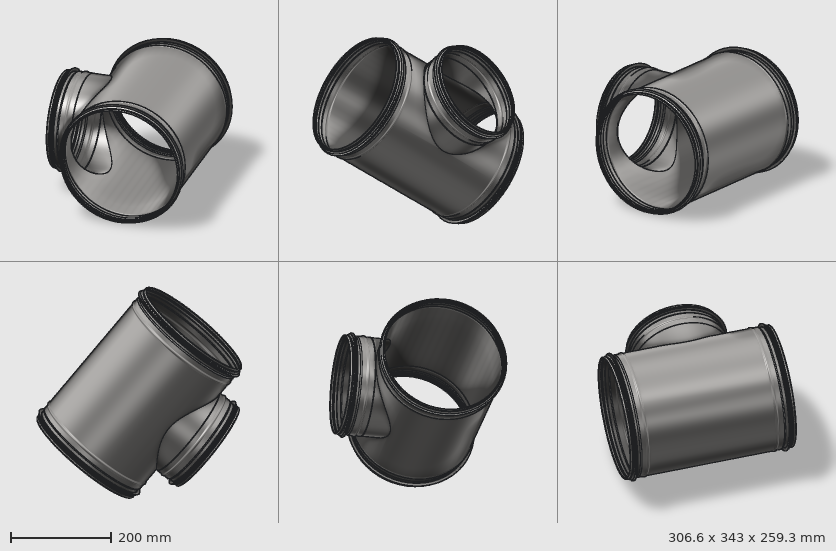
import cadquery as cq
PIPE_LENGTH = 343
PIPE_RADIUS = 249.0 / 2

BRANCH_MOUTH = 177.0
BRANCH_RADIUS = 199.0 / 2
NECK_INSERTION = 1.0

WALL = 0.5
HEM_LENGTH = 5.5
HEM_STEP = 0.5
FOLD_INNER_EDGE = 0.7
FOLD_OUTER_EDGE = 1.7
GROOVE_DEPTH = 1.9
GROOVE_END = 24.7
GROOVE_TAPER = 3.0
BEAD_START = 34.0
BEAD_WIDTH = 8.2
BEAD_HEIGHT = 1.7
BEAD_END = BEAD_START + BEAD_WIDTH
HEM_THICKNESS = GROOVE_DEPTH + WALL + HEM_STEP

GASKET_END = 15.0
GASKET_BASE = 0.7
SHOULDER_START = 7.2
SHOULDER_HEIGHT = 1.7
THIN_LIP_END = 9.3
THIN_LIP_TIP = 11.3
THIN_LIP_THICKNESS = 1.0
THIN_LIP_HEIGHT = 4.63
THICK_LIP_THICKNESS = 1.5
THICK_LIP_HEIGHT = 7.03

NECK_RADIUS = BRANCH_RADIUS - WALL
SPIGOT_LENGTH = BRANCH_MOUTH - PIPE_RADIUS


def revolved(outline):
    """Solid turned about Z from an outline drawn as (radius, height)."""
    return outline.close().revolve(360, (0, 0, 0), (0, 1, 0))


def end_core(radius, length):
    """Solid pipe end up +Z from the hem fold: groove running out to the mouth, then a round bead."""
    floor = radius - GROOVE_DEPTH
    bead_flank = radius + BEAD_HEIGHT / 2
    return revolved(
        cq.Workplane("XZ")
        .moveTo(0, FOLD_OUTER_EDGE)
        .lineTo(floor, FOLD_OUTER_EDGE)
        .lineTo(floor, GROOVE_END - GROOVE_TAPER)
        .lineTo(radius, GROOVE_END)
        .lineTo(radius, BEAD_START)
        .threePointArc(
            (radius + BEAD_HEIGHT * 0.15, BEAD_START + BEAD_WIDTH * 0.15),
            (bead_flank, BEAD_START + BEAD_WIDTH / 4),
        )
        .threePointArc(
            (radius + BEAD_HEIGHT, BEAD_START + BEAD_WIDTH / 2),
            (bead_flank, BEAD_END - BEAD_WIDTH / 4),
        )
        .threePointArc(
            (radius + BEAD_HEIGHT * 0.15, BEAD_END - BEAD_WIDTH * 0.15),
            (radius, BEAD_END),
        )
        .lineTo(radius, length)
        .lineTo(0, length)
    )


def hem(radius):
    """Folded rim on the groove wall, rounded at the mouth at z = 0 and standing a little into the bore."""
    floor = radius - GROOVE_DEPTH
    return revolved(
        cq.Workplane("XZ")
        .moveTo(floor, HEM_LENGTH)
        .lineTo(floor, FOLD_OUTER_EDGE)
        .lineTo(floor - WALL, FOLD_OUTER_EDGE)
        .lineTo(radius - HEM_THICKNESS, FOLD_INNER_EDGE)
        .threePointArc((radius - HEM_THICKNESS / 2, 0), (radius, FOLD_OUTER_EDGE))
        .lineTo(radius, HEM_LENGTH)
    )


def pipe_end(radius, length):
    """Sheet-metal pipe end with hem, gasket groove and bead."""
    return end_core(radius, length).cut(end_core(radius - WALL, length)).union(hem(radius))


def gasket(radius):
    """Ring with a shoulder, a slanted thin lip and a straight thick lip, for a pipe end with its mouth at z = 0."""
    seat = radius - GROOVE_DEPTH
    base = seat + GASKET_BASE
    thin_lip = seat + THIN_LIP_HEIGHT
    thick_lip = seat + THICK_LIP_HEIGHT
    return revolved(
        cq.Workplane("XZ")
        .moveTo(seat, HEM_LENGTH)
        .lineTo(base, HEM_LENGTH)
        .lineTo(base, SHOULDER_START)
        .lineTo(seat + SHOULDER_HEIGHT, SHOULDER_START)
        .lineTo(thin_lip, THIN_LIP_TIP - THIN_LIP_THICKNESS)
        .lineTo(thin_lip, THIN_LIP_TIP)
        .lineTo(base, THIN_LIP_END)
        .lineTo(base, GASKET_END - THICK_LIP_THICKNESS)
        .lineTo(thick_lip, GASKET_END - THICK_LIP_THICKNESS)
        .lineTo(thick_lip, GASKET_END)
        .lineTo(seat, GASKET_END)
    )


def at_front_end(body):
    """Place a body with its mouth on the -Y end of the main pipe."""
    return body.rotate((0, 0, 0), (1, 0, 0), -90).translate((0, -PIPE_LENGTH / 2, 0))


def at_back_end(body):
    """Place a body with its mouth on the +Y end of the main pipe."""
    return at_front_end(body).mirror("XZ")


def at_branch(body):
    """Place a body with its mouth on the -X end of the branch."""
    return body.rotate((0, 0, 0), (0, 1, 0), 90).translate((-BRANCH_MOUTH, 0, 0))


def neck_rod(radius):
    """Solid rod from just inside the branch spigot to the axis of the main pipe."""
    return cq.Workplane("YZ").circle(radius).extrude(-PIPE_RADIUS - NECK_INSERTION)


def tee_body():
    """Main pipe with two formed ends, opened into the neck for the branch."""
    half_pipe = pipe_end(PIPE_RADIUS, PIPE_LENGTH / 2)
    pipe = at_front_end(half_pipe).union(at_back_end(half_pipe))
    bore = cq.Workplane("XZ").circle(PIPE_RADIUS - WALL).extrude(PIPE_LENGTH / 2, both=True)
    neck = neck_rod(NECK_RADIUS).cut(bore)
    return pipe.union(neck).cut(neck_rod(NECK_RADIUS - WALL))


tee = tee_body()
spigot = at_branch(pipe_end(BRANCH_RADIUS, SPIGOT_LENGTH))

pipe_gasket = gasket(PIPE_RADIUS)
gaskets = [at_front_end(pipe_gasket), at_back_end(pipe_gasket), at_branch(gasket(BRANCH_RADIUS))]

bodies = [tee, spigot, *gaskets]
result = cq.Compound.makeCompound([body.solids().val() for body in bodies])